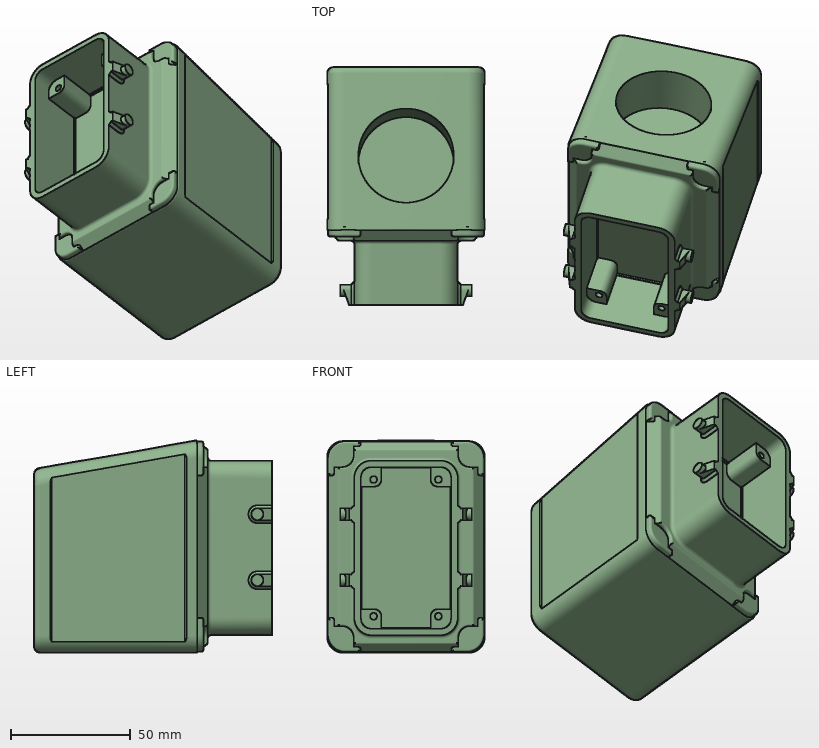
import cadquery as cq
import math

length = 99.5
width = 66.0
height = 88.7

roof_angle = 10.0
roof_slope = math.tan(math.radians(roof_angle))
roof_peak_y = 31.9
body_front_y = 31.3
crown = 0.4
edge_round = 7.0
back_round = 2.8
front_round = 0.5
half_width = width / 2
corners = [(-1, -1), (-1, 1), (1, -1), (1, 1)]

nose_front_y = 26.9
nose_step = 0.4
nose_side_inset = 4.5
nose_end_inset = 3.5
nose_round = 0.9

pad_face_y = 28.7
pad_back_y = 32.8
pad_size = 11.1
pad_corner = 4.8
pad_round = 1.0
arm_width = 3.0
arm_length_x = 14.0
arm_length_z = 14.7
arm_end_round = 1.1

panel_depth = 0.4
panel_front_y = 36.4
panel_back_y = 91.9
panel_end_run = 0.8

neck_width = 43.2
neck_bottom_z = 7.4
neck_top_z = 80.3
neck_center_z = (neck_bottom_z + neck_top_z) / 2
neck_height = neck_top_z - neck_bottom_z
neck_corner = 7.2
neck_root_round = 1.4
wall = 2.8
cavity_corner = 4.2
cavity_depth = 25.9
ledge_width = 0.3
ledge_height = 1.0

post_face_y = 8.9
post_width = 8.6
post_height = 8.1
post_round = 3.0
post_hole_diameter = 2.9
post_hole_depth = 11.9
post_hole_x = 13.5
post_hole_pitch_z = 57.1

peg_diameter = 5.0
peg_y = 6.2
peg_reach = 27.5
peg_heights = (30.3, 57.9)
peg_base_thickness = 1.3
peg_base_chamfer = 1.2
peg_base_width = 7.5
rib_reach_at_peg = 26.0
rib_reach_at_mouth = 23.8

entry_diameter = 39.9
entry_depth = 20.6
entry_y = 62.5


def roof_z(y):
    return height - (y - roof_peak_y) * roof_slope


def rounded_block(x_size, z_size, center_z, corner, y_start, y_end):
    """Block along Y with rounded long edges."""
    return (
        cq.Workplane("XZ", origin=(0, y_start, center_z))
        .rect(x_size, z_size)
        .extrude(y_start - y_end)
        .edges("|Y")
        .fillet(corner)
    )


def arched_roof():
    """Long prism under the arched roof, running along the fall of the roof."""
    fall = cq.Vector(0, math.cos(math.radians(roof_angle)), -math.sin(math.radians(roof_angle)))
    section_plane = cq.Plane(origin=(0, roof_peak_y, height), xDir=(1, 0, 0), normal=fall)
    return (
        cq.Workplane(section_plane)
        .moveTo(-half_width, crown)
        .threePointArc((0, 0), (half_width, crown))
        .lineTo(half_width, 2 * height)
        .lineTo(-half_width, 2 * height)
        .close()
        .extrude(length, both=True)
    )


def make_body():
    """Sloped housing with rounded edges."""
    body = (
        cq.Workplane("XZ", origin=(0, body_front_y, height))
        .rect(width, 2 * height)
        .extrude(body_front_y - length)
        .intersect(arched_roof())
    )
    body = body.edges("not (<Y or >Y)").fillet(edge_round)
    body = body.faces(">Y").edges().fillet(back_round)
    return body.faces("<Y").edges().fillet(front_round)


def make_nose():
    """Tapered nose with its corners cut back to the level of the pads."""
    back_width = width - 2 * nose_step
    back_height = height - 2 * nose_step
    nose = (
        cq.Workplane("XZ", origin=(0, body_front_y, height / 2))
        .rect(back_width, back_height)
        .workplane(offset=body_front_y - nose_front_y)
        .rect(back_width - 2 * nose_side_inset, back_height - 2 * nose_end_inset)
        .loft(ruled=True)
    )
    for side_x, side_z in corners:
        pocket = corner_prism(pad_size, pad_size, side_x, side_z, nose_front_y, body_front_y)
        nose = nose.cut(round_inner_edge(pocket, side_x, side_z, pad_corner))
    return nose.faces("<Y").edges().fillet(nose_round)


def corner_prism(x_size, z_size, side_x, side_z, y_start, y_end):
    """Block reaching in from one corner of the front."""
    x_center = side_x * (half_width - x_size / 2)
    z_center = height / 2 + side_z * (height / 2 - z_size / 2)
    return (
        cq.Workplane("XZ", origin=(x_center, y_start, z_center))
        .rect(x_size, z_size)
        .extrude(y_start - y_end)
    )


def round_inner_edge(block, side_x, side_z, radius):
    """Round the Y edge that faces the middle of the part."""
    inner_x = "<X" if side_x > 0 else ">X"
    inner_z = "<Z" if side_z > 0 else ">Z"
    return block.edges("|Y").edges(inner_x).edges(inner_z).fillet(radius)


def make_pad(side_x, side_z):
    """Corner pad with a round-ended arm along each outer side."""
    depth = (pad_face_y, pad_back_y)
    pad = corner_prism(pad_size, pad_size, side_x, side_z, *depth)
    pad = round_inner_edge(pad, side_x, side_z, pad_corner)
    arm_x = corner_prism(arm_length_x, arm_width, side_x, side_z, *depth)
    arm_x = arm_x.faces("<X" if side_x > 0 else ">X").edges().fillet(arm_end_round)
    arm_z = corner_prism(arm_width, arm_length_z, side_x, side_z, *depth)
    arm_z = arm_z.faces("<Z" if side_z > 0 else ">Z").edges().fillet(arm_end_round)
    outline = rounded_block(
        width - 2 * nose_step, height - 2 * nose_step, height / 2, edge_round, *depth
    )
    outline = outline.faces("<Y").edges().fillet(pad_round)
    return pad.union(arm_x).union(arm_z).intersect(outline)


def cut_side_panels(body):
    """Shallow recess with sloped ends across each side, running out in the rounded edges."""
    for side in (-1, 1):
        outer_x = side * half_width
        inner_x = side * (half_width - panel_depth)
        panel = (
            cq.Workplane("XY")
            .polyline(
                [
                    (outer_x, panel_front_y - panel_end_run),
                    (inner_x, panel_front_y),
                    (inner_x, panel_back_y),
                    (outer_x, panel_back_y + panel_end_run),
                ]
            )
            .close()
            .extrude(height)
        )
        body = body.cut(panel)
    return body


def cut_cable_entry(body):
    """Blind round hole square to the roof."""
    roof_plane = cq.Plane(
        origin=(0, entry_y, roof_z(entry_y)),
        xDir=(1, 0, 0),
        normal=(0, math.sin(math.radians(roof_angle)), math.cos(math.radians(roof_angle))),
    )
    bore = cq.Workplane(roof_plane).workplane(offset=-entry_depth).circle(entry_diameter / 2)
    return body.cut(bore.extrude(2 * entry_depth))


def add_neck(body):
    """Connector neck with a rounded root."""
    neck = rounded_block(neck_width, neck_height, neck_center_z, neck_corner, 0, body_front_y)
    body = body.union(neck)
    margin = neck_root_round / 2
    root = cq.selectors.BoxSelector(
        (-neck_width / 2 - margin, nose_front_y - margin, neck_bottom_z - margin),
        (neck_width / 2 + margin, nose_front_y + margin, neck_top_z + margin),
        boundingbox=True,
    )
    return body.edges(root).fillet(neck_root_round)


def cut_cavity(body):
    """Connector cavity with a small ledge round its floor and a screw post in each corner."""
    cavity_width = neck_width - 2 * wall
    cavity_height = neck_height - 2 * wall
    ledge_y = cavity_depth - ledge_height
    upper = rounded_block(cavity_width, cavity_height, neck_center_z, cavity_corner, 0, ledge_y)
    lower = rounded_block(
        cavity_width - 2 * ledge_width,
        cavity_height - 2 * ledge_width,
        neck_center_z,
        cavity_corner - ledge_width,
        0,
        cavity_depth,
    )
    cavity = upper.union(lower)
    for side_x, side_z in corners:
        post = (
            cq.Workplane("XZ", origin=(0, post_face_y, neck_center_z))
            .center(side_x * (cavity_width - post_width) / 2, side_z * (cavity_height - post_height) / 2)
            .rect(post_width, post_height)
            .extrude(post_face_y - cavity_depth)
        )
        cavity = cavity.cut(round_inner_edge(post, side_x, side_z, post_round))
    holes = (
        cq.Workplane("XZ", origin=(0, post_face_y, neck_center_z))
        .rect(2 * post_hole_x, post_hole_pitch_z, forConstruction=True)
        .vertices()
        .circle(post_hole_diameter / 2)
        .extrude(-post_hole_depth)
    )
    return body.cut(cavity).cut(holes)


def make_peg(side, z):
    """Locking peg on a chamfered base, braced by a rib running to the mouth."""
    outer_wall_x = neck_width / 2
    root_x = outer_wall_x - wall / 2
    root_plane = cq.Workplane("YZ", origin=(side * root_x, 0, z))

    base_reach = outer_wall_x + peg_base_thickness
    base = root_plane.slot2D(2 * peg_y + peg_base_width, peg_base_width)
    base = base.extrude(side * (base_reach - root_x))
    base = base.faces(">X" if side > 0 else "<X").edges().chamfer(peg_base_chamfer)
    behind_mouth = cq.Workplane("XY").box(width, length, 2 * height, centered=(True, False, True))
    base = base.intersect(behind_mouth)

    peg = root_plane.center(peg_y, 0).circle(peg_diameter / 2).extrude(side * (peg_reach - root_x))

    rib = (
        cq.Workplane("XY", origin=(0, 0, z - peg_diameter / 2))
        .polyline(
            [
                (side * outer_wall_x, 0),
                (side * rib_reach_at_mouth, 0),
                (side * rib_reach_at_peg, peg_y),
                (side * outer_wall_x, peg_y),
            ]
        )
        .close()
        .extrude(peg_diameter)
    )
    return base.union(peg).union(rib)


result = make_body().union(make_nose())
for side_x, side_z in corners:
    result = result.union(make_pad(side_x, side_z))
result = cut_side_panels(result)
result = cut_cable_entry(result)
result = add_neck(result)
result = cut_cavity(result)
for side in (-1, 1):
    for peg_z in peg_heights:
        result = result.union(make_peg(side, peg_z))